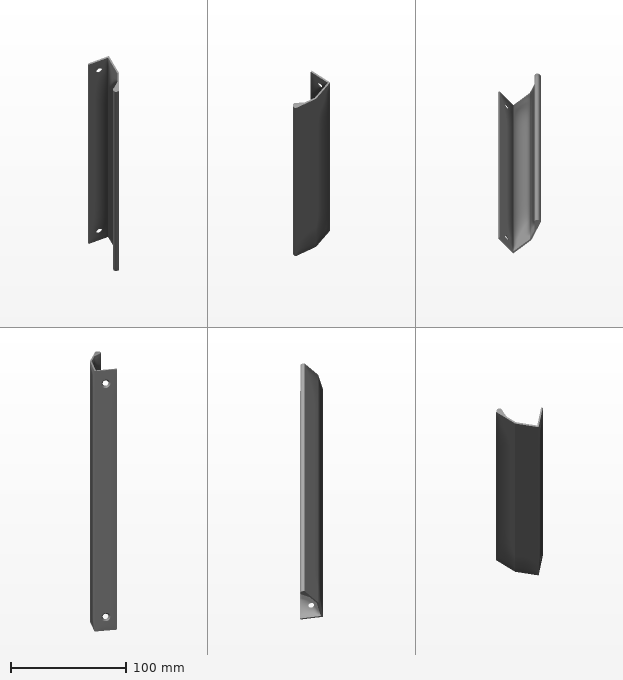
import cadquery as cq
import math

length = 250.0
width = 39.0
flange_depth = 20.0
thickness = 1.5

web_width = 20.8
slope_angle = math.radians(25)
grip_start_x = 29.5
grip_flank_x = 34.0
grip_flank_y = -11.0
grip_bottom_y = -12.8
grip_radius = 2.5

hole_diameter = 5.0
countersink_diameter = 8.0
hole_end_distance = 13.0


def slope_y(x):
    """Height of the outer lip face at x."""
    return -(x - web_width) * math.tan(slope_angle)


def make_profile_bar():
    """Constant section: flange, web, sloping lip and rounded grip."""
    inner_bend_x = web_width - thickness * math.tan(slope_angle / 2)
    grip_start_y = slope_y(grip_start_x) - thickness / math.cos(slope_angle)
    return (
        cq.Workplane("XY")
        .moveTo(0, -flange_depth)
        .lineTo(0, 0)
        .lineTo(web_width, 0)
        .lineTo(width, slope_y(width))
        .lineTo(width, grip_bottom_y + grip_radius)
        .threePointArc((width - grip_radius, grip_bottom_y), (grip_flank_x, grip_flank_y))
        .lineTo(grip_start_x, grip_start_y)
        .lineTo(inner_bend_x, -thickness)
        .lineTo(thickness, -thickness)
        .lineTo(thickness, -flange_depth)
        .close()
        .extrude(length)
    )


def make_screw_hole(z):
    """Conical cutter through the flange, widest on its outer face."""
    return (
        cq.Workplane("YZ")
        .center(-flange_depth / 2, z)
        .circle(countersink_diameter / 2)
        .workplane(offset=thickness)
        .circle(hole_diameter / 2)
        .loft(combine=True)
    )


result = make_profile_bar()
for hole_z in (hole_end_distance, length - hole_end_distance):
    result = result.cut(make_screw_hole(hole_z))